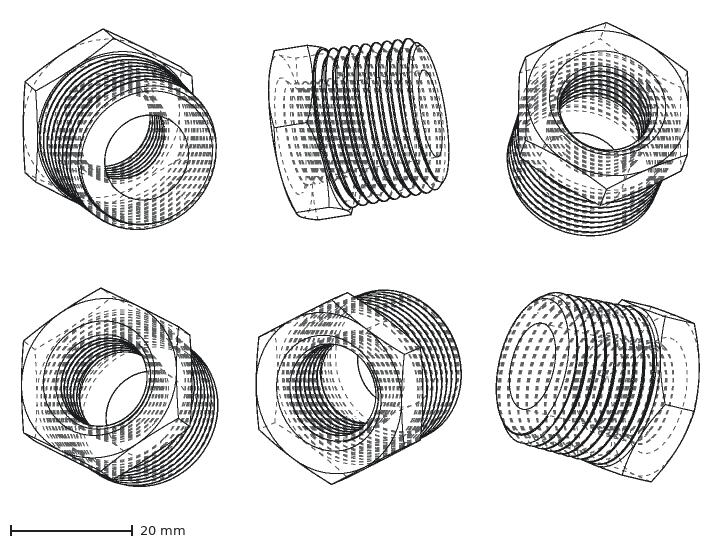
import cadquery as cq
import math

across_flats = 26.988
hex_length = 7.53
hex_chamfer = 0.96
overall_length = 23.82

taper_slope = 1 / 32
flank_tangent = math.tan(math.radians(30))
overshoot = 0.4
lead_in_turns = 3
run_out_turns = 1.5

outer_pitch = 25.4 / 14
outer_crest_radius = 13.22
outer_crest_flat = 0.2
outer_root_flat = 0.2
outer_crest_position = 9.17
end_chamfer_radius = 11.36

inner_pitch = 25.4 / 18
inner_crest_radius = 7.62
inner_crest_flat = 0.16
inner_root_flat = 0.16
inner_crest_position = 1.6
inner_thread_end = 11.0
bore_radius = 7.23
countersink_radius = 9.7


def turned(points):
    """Solid of revolution about X from (x, radius) points."""
    return cq.Workplane("XY").polyline(points).close().revolve(360, (0, 0, 0), (1, 0, 0))


def cone(x_start, x_end, radius_start, radius_end):
    return turned([(x_start, 0), (x_start, radius_start), (x_end, radius_end), (x_end, 0)])


def helical_groove(pitch, x_start, x_end, profile):
    """Groove body: an (x offset, radius) profile, set at x_start on the +Z side, carried along the taper."""
    taper_angle = math.degrees(math.atan(taper_slope))
    helices = [
        cq.Wire.makeHelix(
            pitch,
            x_end - x_start,
            radius,
            center=cq.Vector(x_start + offset, 0, 0),
            dir=cq.Vector(1, 0, 0),
            angle=-taper_angle,
        )
        for offset, radius in profile
    ]
    followers = helices[1:] + helices[:1]
    sides = [cq.Face.makeRuledSurface(one, two) for one, two in zip(helices, followers)]
    caps = [
        cq.Face.makeFromWires(
            cq.Wire.makePolygon([helix.positionAt(end) for helix in helices], close=True)
        )
        for end in (0, 1)
    ]
    return cq.Workplane(cq.Solid.makeSolid(cq.Shell.makeShell(sides + caps)))


def groove_profile(root_flat, crest_flat, pitch, crest_radius, outward):
    """Groove section: root flat, flanks, then upright walls past the crests.

    outward is +1 for a groove opening away from the axis and -1 for one opening toward it.
    """
    depth = (pitch - crest_flat - root_flat) / 2 / flank_tangent
    root_radius = crest_radius - outward * depth
    mouth_radius = crest_radius + outward * overshoot
    half_root = root_flat / 2
    half_mouth = (pitch - crest_flat) / 2
    return [
        (-half_root, root_radius),
        (half_root, root_radius),
        (half_mouth, crest_radius),
        (half_mouth, mouth_radius),
        (-half_mouth, mouth_radius),
        (-half_mouth, crest_radius),
    ]


def make_head():
    corner_radius = across_flats / math.sqrt(3)
    flat_radius = across_flats / 2
    prism = (
        cq.Workplane("YZ")
        .polygon(6, 2 * corner_radius)
        .extrude(hex_length)
        .rotate((0, 0, 0), (1, 0, 0), 90)
    )
    bevel = turned(
        [
            (0, 0),
            (0, flat_radius),
            (hex_chamfer, corner_radius),
            (hex_length - hex_chamfer, corner_radius),
            (hex_length, flat_radius),
            (hex_length, 0),
        ]
    )
    return prism.intersect(bevel)


def make_threaded_shank():
    def crest_radius_at(x):
        return outer_crest_radius - (x - hex_length) * taper_slope

    groove_start = outer_crest_position - (lead_in_turns + 0.5) * outer_pitch
    end_radius = crest_radius_at(overall_length)
    chamfer_length = (end_radius - end_chamfer_radius) / (1 - taper_slope)
    chamfer_start = overall_length - chamfer_length
    blank = turned(
        [
            (hex_length, 0),
            (hex_length, outer_crest_radius),
            (chamfer_start, crest_radius_at(chamfer_start)),
            (overall_length, end_chamfer_radius),
            (overall_length, 0),
        ]
    )
    profile = groove_profile(
        outer_root_flat, outer_crest_flat, outer_pitch, crest_radius_at(groove_start), 1
    )
    groove_end = overall_length + run_out_turns * outer_pitch
    groove = helical_groove(outer_pitch, groove_start, groove_end, profile)
    return blank.cut(groove)


def make_threaded_hole():
    """Bodies to remove, in order: crest cone, thread groove, through bore, countersink."""
    def crest_radius_at(x):
        return inner_crest_radius - x * taper_slope

    groove_start = inner_crest_position - (lead_in_turns + 0.5) * inner_pitch
    profile = groove_profile(
        inner_root_flat, inner_crest_flat, inner_pitch, crest_radius_at(groove_start), -1
    )
    groove_end = inner_thread_end + run_out_turns * inner_pitch
    groove = helical_groove(inner_pitch, groove_start, groove_end, profile)
    thread_zone = cone(-inner_pitch, inner_thread_end, countersink_radius, countersink_radius)
    crest_cone = cone(0, inner_thread_end, crest_radius_at(0), crest_radius_at(inner_thread_end))
    countersink_depth = countersink_radius - bore_radius
    countersink = cone(0, countersink_depth, countersink_radius, bore_radius)
    bore = cone(0, overall_length, bore_radius, bore_radius)
    return [crest_cone, groove.intersect(thread_zone), bore, countersink]


result = make_head().union(make_threaded_shank())
for cutter in make_threaded_hole():
    result = result.cut(cutter)